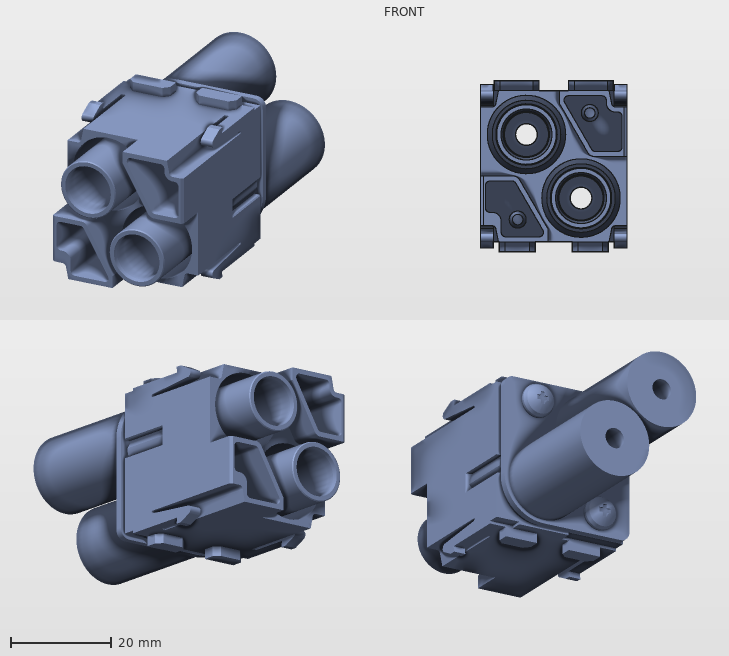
import cadquery as cq
import math


HALF_WIDTH = 14.65
HALF_HEIGHT = 15.1
OVERALL_LENGTH = 67.3
TOWER_FRONT = 2.3
BLOCK_FRONT = 9.0
BLOCK_REAR = 36.4

CHAMBER_X = 5.45
CHAMBER_Z = 6.35
SLEEVE_RADIUS = 8.0
NECK_RADIUS = 8.12
TUBE_RADIUS = 6.15
TUBE_EDGE = 0.2
RECESS_RADIUS = 7.85
RECESS_FLOOR = 30.0
COLLAR_RADIUS = 6.85
COLLAR_HEIGHT = 1.0
BORE_MOUTH_RADIUS = 5.1
BORE_MOUTH_BEVEL = 0.15
BORE_MOUTH_DEPTH = 1.0
BORE_FLOOR_RADIUS = 4.4
BORE_FLOOR_BEVEL = 0.2
BORE_FLOOR = 22.0
CONTACT_HOLE_RADIUS = 2.15

FLANGE_FRONT = 37.8
FLANGE_REAR = 39.3
FLANGE_HALF_WIDTH = 14.5
FLANGE_BIG_RADIUS = 9.1
FLANGE_SMALL_RADIUS = 2.1

TOWER_LEDGE_Z = 1.95
TOWER_INNER_X = 1.15
TOWER_SLOPE_TOP_X = 7.25
TOWER_SLOPE_ANGLE = 60.0
TOWER_CORNER_RADIUS = 1.5
TOWER_WALL = 1.0
TOWER_BEVEL_X = 0.6
TOWER_BEVEL_Y = 0.4
POCKET_FLOOR = 30.0
POCKET_RADIUS = 0.9
POCKET_STEP_X = 10.5
LOWER_POCKET_STEP_Z = 9.2
UPPER_POCKET_STEP_Z = 10.85
POCKET_STEP_RADIUS = 1.8

SCREW_X = 7.2
SCREW_Z = 10.65
SCREW_TIP_RADIUS = 1.7
SCREW_TIP_CHAMFER = 0.65
SCREW_TIP_LENGTH = 2.0
SPACER_RADIUS = 2.7
HEAD_RADIUS = 3.5
HEAD_BASE_BEVEL = 0.1
HEAD_BASE_HEIGHT = 0.45
HEAD_RIM_HEIGHT = 1.0
HEAD_HEIGHT = 2.8
HEAD_SHOULDER_RADIUS = 3.1
HEAD_SHOULDER_HEIGHT = 1.8
HEAD_CROWN_RADIUS = 1.0
HEAD_DOME_RADIUS = 5.0
DRIVE_LENGTH = 2.6
DRIVE_WIDTH = 1.0
DRIVE_DEPTH = 0.45

RIB_FRONT = 30.1
RIB_REAR = 33.8
RIB_TOP_Z = 17.1
RIB_CHAMFER = 1.2
UPPER_RIB_X = 7.4
UPPER_RIB_WIDTH = 9.0
LOWER_RIB_X = 7.3
LOWER_RIB_WIDTH = 7.25

REAR_STEP_DEPTH = 0.55
REAR_STEP_OUTER_X = 9.4
REAR_STEP_INNER_X = 2.1

NOTCH_REAR = 27.8
NOTCH_FLOOR_Z = 11.85
NOTCH_WALL_TOP_X = 11.05
NOTCH_WALL_LOW_X = 11.55
NOTCH_FILLET_TOP_Z = 12.65
NOTCH_FILLET_X = 12.4
ARM_INNER_X = 12.05
ARM_ROOT_Z = 12.4
ARM_ROOT_BEVEL = 0.3
ARM_TIP_FRONT = 15.25
ARM_TIP_REAR = 15.9
ARM_TIP_LOW_Z = 13.4
ARM_TIP_MID_Z = 14.2
ARM_TIP_HIGH_Z = 15.05
HOOK_Z = 16.35
HOOK_FRONT = 18.4
HOOK_REAR = 19.75
HOOK_BARB = 0.25

GROOVE_FRONT = 24.2
GROOVE_TOP_Z = 5.2
GROOVE_BOTTOM_Z = 1.1
GROOVE_DEPTH = 1.3
RIDGE_TOP_Z = 4.4
RIDGE_CREST_Z = 3.35
RIDGE_CREST_DEPTH = 0.7
RIDGE_SIDE_Z = 2.1
RIDGE_SIDE_DEPTH = 0.85
GROOVE_TOP_BEVEL = 0.25
GROOVE_END_SLOPE = 0.55


def half_turn(shape):
    return shape.rotate((0, 0, 0), (0, 1, 0), 180)


def box_between(x0, x1, y0, y1, z0, z1):
    return cq.Workplane("XY").box(x1 - x0, y1 - y0, z1 - z0, centered=False).translate((x0, y0, z0))


def profile_at(y):
    """XZ sketch plane at the given Y; positive extrusion runs toward -Y."""
    return cq.Workplane("XZ", origin=(0, y, 0))


def cylinder_between(x, z, radius, y0, y1):
    return profile_at(y1).center(x, z).circle(radius).extrude(y1 - y0)


def revolved_about_y(x, z, outline):
    """Revolve an outline of (radius, Y) points about the line through (x, z) along Y."""
    return (
        cq.Workplane("XY").polyline(outline).close().revolve(360, (0, 0, 0), (0, 1, 0)).translate((x, 0, z))
    )


def add_both(body, shape):
    return body.union(shape).union(half_turn(shape))


def cut_both(body, shape):
    return body.cut(shape).cut(half_turn(shape))


def make_block():
    return box_between(-HALF_WIDTH, HALF_WIDTH, BLOCK_FRONT, BLOCK_REAR, -HALF_HEIGHT, HALF_HEIGHT)


def slope_x(z, offset=0.0):
    """X on the tower's sloping wall at height z, moved inward by offset."""
    angle = math.radians(TOWER_SLOPE_ANGLE)
    return -TOWER_SLOPE_TOP_X - (z + TOWER_LEDGE_Z) / math.tan(angle) - offset / math.sin(angle)


def make_tower():
    """Tower at the lower corner on the -X side."""
    slope_width = TOWER_SLOPE_TOP_X - TOWER_INNER_X
    slope_end_z = -TOWER_LEDGE_Z - slope_width * math.tan(math.radians(TOWER_SLOPE_ANGLE))
    outline = [
        (-HALF_WIDTH, -HALF_HEIGHT),
        (-HALF_WIDTH, -TOWER_LEDGE_Z),
        (-TOWER_SLOPE_TOP_X, -TOWER_LEDGE_Z),
        (-TOWER_INNER_X, slope_end_z),
        (-TOWER_INNER_X, -HALF_HEIGHT),
    ]
    tower = profile_at(BLOCK_FRONT).polyline(outline).close().extrude(BLOCK_FRONT - TOWER_FRONT)
    ledge_edge = cq.selectors.NearestToPointSelector(
        (-TOWER_SLOPE_TOP_X, (BLOCK_FRONT + TOWER_FRONT) / 2, -TOWER_LEDGE_Z)
    )
    tower = tower.edges(ledge_edge).fillet(TOWER_CORNER_RADIUS)
    bevel = (
        cq.Workplane("XY")
        .moveTo(-HALF_WIDTH, TOWER_FRONT)
        .lineTo(-HALF_WIDTH + TOWER_BEVEL_X, TOWER_FRONT)
        .lineTo(-HALF_WIDTH, TOWER_FRONT + TOWER_BEVEL_Y)
        .close()
        .extrude(-HALF_HEIGHT)
    )
    return tower.cut(bevel)


def make_tower_pocket(step_height):
    """Pocket inside the tower, stepped at Z = -step_height to clear the corner notch."""
    left = -HALF_WIDTH + TOWER_WALL
    top = -TOWER_LEDGE_Z - TOWER_WALL
    bottom = -HALF_HEIGHT + TOWER_WALL
    outline = [
        (left, top),
        (slope_x(top, TOWER_WALL), top),
        (slope_x(bottom, TOWER_WALL), bottom),
        (-POCKET_STEP_X, bottom),
        (-POCKET_STEP_X, -step_height),
        (left, -step_height),
    ]
    pocket = profile_at(POCKET_FLOOR).polyline(outline).close().extrude(POCKET_FLOOR - TOWER_FRONT)
    mid_y = (POCKET_FLOOR + TOWER_FRONT) / 2
    step_edge = cq.selectors.NearestToPointSelector((-POCKET_STEP_X, mid_y, -step_height))
    lengthwise_edges = cq.selectors.ParallelDirSelector(cq.Vector(0, 1, 0))
    outer_edges = cq.selectors.SubtractSelector(lengthwise_edges, step_edge)
    pocket = pocket.edges(outer_edges).fillet(POCKET_RADIUS)
    return pocket.edges(step_edge).fillet(POCKET_STEP_RADIUS)


def make_screw_tip():
    outline = [
        (0, POCKET_FLOOR),
        (SCREW_TIP_RADIUS, POCKET_FLOOR),
        (SCREW_TIP_RADIUS, POCKET_FLOOR - SCREW_TIP_LENGTH + SCREW_TIP_CHAMFER),
        (SCREW_TIP_RADIUS - SCREW_TIP_CHAMFER, POCKET_FLOOR - SCREW_TIP_LENGTH),
        (0, POCKET_FLOOR - SCREW_TIP_LENGTH),
    ]
    return revolved_about_y(-SCREW_X, -SCREW_Z, outline)


def make_screw_head():
    """Domed head on the rear of the flange, with a cross drive."""
    rim_y = FLANGE_REAR + HEAD_RIM_HEIGHT
    shoulder_y = FLANGE_REAR + HEAD_SHOULDER_HEIGHT
    crown_y = FLANGE_REAR + HEAD_HEIGHT
    head = (
        cq.Workplane("XY")
        .moveTo(0, FLANGE_REAR)
        .lineTo(HEAD_RADIUS - HEAD_BASE_BEVEL, FLANGE_REAR)
        .lineTo(HEAD_RADIUS, FLANGE_REAR + HEAD_BASE_HEIGHT)
        .lineTo(HEAD_RADIUS, rim_y)
        .lineTo(HEAD_SHOULDER_RADIUS, shoulder_y)
        .radiusArc((HEAD_CROWN_RADIUS, crown_y), -HEAD_DOME_RADIUS)
        .lineTo(0, crown_y)
        .close()
        .revolve(360, (0, 0, 0), (0, 1, 0))
    )
    for angle in (0, 90):
        slot = cq.Workplane("XY").box(DRIVE_LENGTH, 2 * DRIVE_DEPTH, DRIVE_WIDTH).translate((0, crown_y, 0))
        head = head.cut(slot.rotate((0, 0, 0), (0, 1, 0), angle))
    return head.translate((-SCREW_X, 0, -SCREW_Z))


def make_flange():
    """Flange plate with large corners around the sleeves and small ones at the screws."""
    thickness = FLANGE_REAR - FLANGE_FRONT
    flange = profile_at(FLANGE_REAR).rect(2 * FLANGE_HALF_WIDTH, 2 * HALF_HEIGHT).extrude(thickness)
    mid_y = (FLANGE_FRONT + FLANGE_REAR) / 2
    for x_side, z_side in ((-1, 1), (1, -1), (1, 1), (-1, -1)):
        radius = FLANGE_BIG_RADIUS if x_side != z_side else FLANGE_SMALL_RADIUS
        corner_point = (x_side * FLANGE_HALF_WIDTH, mid_y, z_side * HALF_HEIGHT)
        corner = cq.selectors.NearestToPointSelector(corner_point)
        flange = flange.edges(corner).fillet(radius)
    return flange


def make_sleeve():
    """Rear sleeve of the upper chamber with its thicker neck under the flange."""
    sleeve = cylinder_between(-CHAMBER_X, CHAMBER_Z, SLEEVE_RADIUS, FLANGE_REAR, OVERALL_LENGTH)
    neck = cylinder_between(-CHAMBER_X, CHAMBER_Z, NECK_RADIUS, BLOCK_REAR, FLANGE_FRONT)
    return sleeve.union(neck)


def make_chamber_recess():
    """Round recess for the contact tube, with a raised conical collar at its floor."""
    outline = [
        (0, 0),
        (RECESS_RADIUS, 0),
        (RECESS_RADIUS, RECESS_FLOOR),
        (COLLAR_RADIUS, RECESS_FLOOR - COLLAR_HEIGHT),
        (0, RECESS_FLOOR - COLLAR_HEIGHT),
    ]
    return revolved_about_y(-CHAMBER_X, CHAMBER_Z, outline)


def make_tube():
    outline = [
        (0, 0),
        (TUBE_RADIUS - TUBE_EDGE, 0),
        (TUBE_RADIUS, TUBE_EDGE),
        (TUBE_RADIUS, RECESS_FLOOR),
        (0, RECESS_FLOOR),
    ]
    return revolved_about_y(-CHAMBER_X, CHAMBER_Z, outline)


def make_contact_bore():
    """Tapered front bore, bevelled at mouth and floor, followed by a narrow hole through to the rear."""
    outline = [
        (0, 0),
        (BORE_MOUTH_RADIUS, 0),
        (BORE_MOUTH_RADIUS - BORE_MOUTH_BEVEL, BORE_MOUTH_DEPTH),
        (BORE_FLOOR_RADIUS + BORE_FLOOR_BEVEL, BORE_FLOOR - BORE_FLOOR_BEVEL),
        (BORE_FLOOR_RADIUS, BORE_FLOOR),
        (CONTACT_HOLE_RADIUS, BORE_FLOOR),
        (CONTACT_HOLE_RADIUS, OVERALL_LENGTH),
        (0, OVERALL_LENGTH),
    ]
    return revolved_about_y(-CHAMBER_X, CHAMBER_Z, outline)


def make_upper_rib(center_x, width):
    """Keying rib on the top face, chamfered at its two front corners."""
    half = width / 2
    outline = [
        (center_x - half, RIB_REAR),
        (center_x - half, RIB_FRONT + RIB_CHAMFER),
        (center_x - half + RIB_CHAMFER, RIB_FRONT),
        (center_x + half - RIB_CHAMFER, RIB_FRONT),
        (center_x + half, RIB_FRONT + RIB_CHAMFER),
        (center_x + half, RIB_REAR),
    ]
    rib = cq.Workplane("XY", origin=(0, 0, HALF_HEIGHT)).polyline(outline).close()
    return rib.extrude(RIB_TOP_Z - HALF_HEIGHT)


def make_rear_steps():
    """Shallow steps on the top face, left and right of the upper chamber."""
    step_z = HALF_HEIGHT - REAR_STEP_DEPTH
    outer = box_between(-HALF_WIDTH, -REAR_STEP_OUTER_X, RIB_REAR, BLOCK_REAR, step_z, HALF_HEIGHT)
    inner = box_between(REAR_STEP_INNER_X, HALF_WIDTH, RIB_REAR, BLOCK_REAR, step_z, HALF_HEIGHT)
    return outer.union(inner)


def make_corner_notch():
    """Notch along the upper corner on the -X side, open to the front."""
    bulge = 1 - math.sqrt(0.5)
    fillet_middle = (
        -NOTCH_WALL_LOW_X - (NOTCH_FILLET_X - NOTCH_WALL_LOW_X) * bulge,
        NOTCH_FLOOR_Z + (NOTCH_FILLET_TOP_Z - NOTCH_FLOOR_Z) * bulge,
    )
    return (
        profile_at(NOTCH_REAR)
        .moveTo(-HALF_WIDTH, HALF_HEIGHT)
        .lineTo(-HALF_WIDTH, NOTCH_FLOOR_Z)
        .lineTo(-NOTCH_FILLET_X, NOTCH_FLOOR_Z)
        .threePointArc(fillet_middle, (-NOTCH_WALL_LOW_X, NOTCH_FILLET_TOP_Z))
        .lineTo(-NOTCH_WALL_TOP_X, HALF_HEIGHT)
        .close()
        .extrude(NOTCH_REAR)
    )


def make_latch_arm():
    """Spring arm with a hook, rooted at the rear end of the upper corner notch."""
    return (
        cq.Workplane("YZ", origin=(-HALF_WIDTH, 0, 0))
        .moveTo(NOTCH_REAR, HALF_HEIGHT)
        .lineTo(NOTCH_REAR, ARM_ROOT_Z - ARM_ROOT_BEVEL)
        .lineTo(NOTCH_REAR - ARM_ROOT_BEVEL, ARM_ROOT_Z)
        .lineTo(ARM_TIP_REAR, ARM_TIP_LOW_Z)
        .threePointArc((ARM_TIP_FRONT, ARM_TIP_MID_Z), (ARM_TIP_REAR - HOOK_BARB, ARM_TIP_HIGH_Z))
        .lineTo(HOOK_FRONT, HOOK_Z)
        .lineTo(HOOK_REAR, HOOK_Z)
        .lineTo(HOOK_REAR - HOOK_BARB, HALF_HEIGHT)
        .close()
        .extrude(HALF_WIDTH - ARM_INNER_X)
    )


def make_side_groove():
    """Groove in the -X face, open to the rear, with a ridge along its floor."""
    floor_x = -HALF_WIDTH + GROOVE_DEPTH
    groove = (
        profile_at(BLOCK_REAR)
        .moveTo(-HALF_WIDTH, GROOVE_TOP_Z)
        .lineTo(-HALF_WIDTH + GROOVE_TOP_BEVEL, GROOVE_TOP_Z - GROOVE_TOP_BEVEL)
        .lineTo(floor_x, GROOVE_TOP_Z - GROOVE_TOP_BEVEL)
        .lineTo(floor_x, RIDGE_TOP_Z)
        .lineTo(-HALF_WIDTH + RIDGE_CREST_DEPTH, RIDGE_CREST_Z)
        .threePointArc((-HALF_WIDTH + RIDGE_SIDE_DEPTH, RIDGE_SIDE_Z), (floor_x, GROOVE_BOTTOM_Z))
        .lineTo(-HALF_WIDTH, GROOVE_BOTTOM_Z)
        .close()
        .extrude(BLOCK_REAR - GROOVE_FRONT)
    )
    end_slope = (
        cq.Workplane("XY")
        .moveTo(-HALF_WIDTH, GROOVE_FRONT)
        .lineTo(floor_x, GROOVE_FRONT)
        .lineTo(floor_x, GROOVE_FRONT + GROOVE_END_SLOPE)
        .close()
        .extrude(GROOVE_TOP_Z)
    )
    return groove.cut(end_slope)


body = add_both(make_block(), make_tower())
body = body.union(make_flange())
body = add_both(body, make_sleeve())
body = add_both(body, cylinder_between(-SCREW_X, -SCREW_Z, SPACER_RADIUS, BLOCK_REAR, FLANGE_FRONT))
body = add_both(body, make_screw_head())

notch = make_corner_notch()
arm = make_latch_arm()
body = cut_both(body, notch)
body = cut_both(body, notch.mirror("YZ"))
body = add_both(body, arm)
body = add_both(body, arm.mirror("YZ"))

body = cut_both(body, make_rear_steps())
body = cut_both(body, make_side_groove())
for side in (-1, 1):
    body = body.union(make_upper_rib(side * UPPER_RIB_X, UPPER_RIB_WIDTH))
    body = body.union(half_turn(make_upper_rib(side * LOWER_RIB_X, LOWER_RIB_WIDTH)))

body = body.cut(make_tower_pocket(LOWER_POCKET_STEP_Z))
body = body.cut(half_turn(make_tower_pocket(UPPER_POCKET_STEP_Z)))
body = add_both(body, make_screw_tip())

body = cut_both(body, make_chamber_recess())
body = add_both(body, make_tube())
body = cut_both(body, make_contact_bore())

result = body